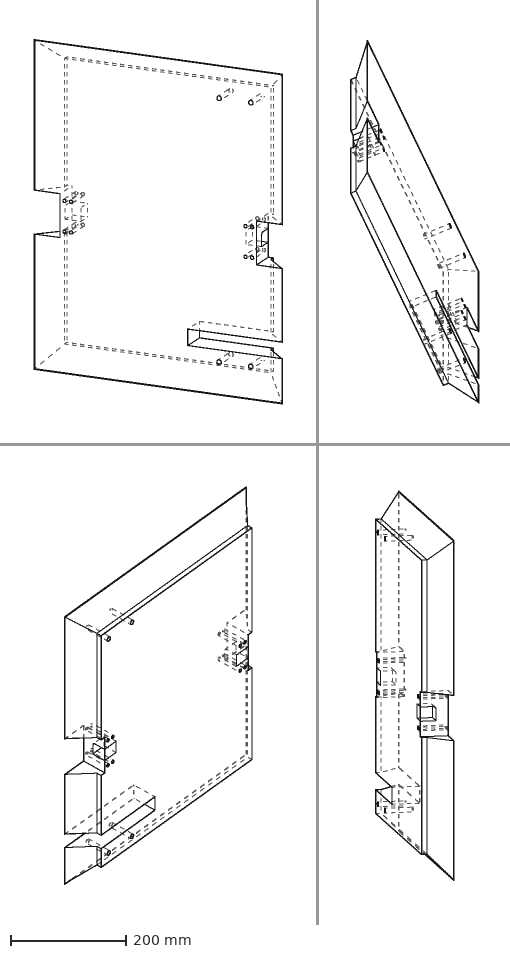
import cadquery as cq

WIDTH = 475.0
HEIGHT = 600.0
THICKNESS = 50.0
SKIN = 0.7

BACK_INSET = 40.0
BAND_DEPTH = 10.0
BACK_WIDTH = WIDTH - 2 * BACK_INSET
BACK_HEIGHT = HEIGHT - 2 * BACK_INSET
BEVEL_DEPTH = THICKNESS - SKIN - BAND_DEPTH
CORE_INSET = BACK_INSET - BEVEL_DEPTH

NOTCH_DEPTH = 50.0
NOTCH_HEIGHT = 80.0
NOTCH_Z = -14.0

POCKET_LENGTH = 30.0
POCKET_HEIGHT = 25.0
POCKET_DEPTH = 28.0
POCKET_FILLET = 5.0

SLOT_LENGTH = 181.0
SLOT_HEIGHT = 30.0
SLOT_Z = -203.0

SMALL_HOLE = 6.0
SMALL_HOLE_X = (167.0, 179.5)
SMALL_HOLE_PITCH_Z = 56.0
LARGE_HOLE = 8.5
LARGE_HOLE_X = (116.5, 177.0)
LARGE_HOLE_Z = 240.0

FRONT_Y = 0.0
BACK_Y = THICKNESS
NOTCH_FLOOR_X = WIDTH / 2 - NOTCH_DEPTH


def slab(width, height, y_start, y_end, x=0.0, z=0.0):
    """Box centred on (x, z), between two Y positions."""
    depth = y_end - y_start
    return cq.Workplane("XY").box(width, depth, height).translate((x, y_start + depth / 2, z))


def notch_cutter():
    """Both side notches; each block is centred on its side edge."""
    cutter = cq.Workplane("XY")
    for side in (-1, 1):
        cutter = cutter.add(
            slab(2 * NOTCH_DEPTH, NOTCH_HEIGHT, FRONT_Y, BACK_Y, side * WIDTH / 2, NOTCH_Z)
        )
    return cutter.combine()


def slot_cutter():
    """Slot running in from the +X edge."""
    return slab(2 * SLOT_LENGTH, SLOT_HEIGHT, FRONT_Y, BACK_Y, WIDTH / 2, SLOT_Z)


def hole_cutter():
    """Small holes beside the notches and large holes near the top and bottom."""
    small_points = [
        (side * x, NOTCH_Z + row * SMALL_HOLE_PITCH_Z / 2)
        for side in (-1, 1)
        for x in SMALL_HOLE_X
        for row in (-1, 1)
    ]
    large_points = [(x, row * LARGE_HOLE_Z) for x in LARGE_HOLE_X for row in (-1, 1)]
    plane = cq.Workplane("XZ")
    small = plane.pushPoints(small_points).circle(SMALL_HOLE / 2).extrude(-THICKNESS)
    large = plane.pushPoints(large_points).circle(LARGE_HOLE / 2).extrude(-THICKNESS)
    return small.add(large).combine()


def pocket_cutter():
    """Pockets behind the notch floors, rounded along the upper inner edge."""
    cutter = cq.Workplane("XY")
    for side in (-1, 1):
        block = slab(
            2 * POCKET_LENGTH, POCKET_HEIGHT, BACK_Y - POCKET_DEPTH, BACK_Y - SKIN,
            side * NOTCH_FLOOR_X, NOTCH_Z,
        )
        cutter = cutter.add(block.edges("|X and >Z and <Y").fillet(POCKET_FILLET))
    return cutter.combine()


def cut_openings(body):
    """Cut everything that passes through the whole panel."""
    return body.cut(notch_cutter()).cut(slot_cutter()).cut(hole_cutter())


def make_front_skin():
    """Full-size sheet on the front of the core."""
    return cut_openings(slab(WIDTH, HEIGHT, FRONT_Y, FRONT_Y + SKIN))


def make_back_skin():
    """Smaller sheet covering the back of the core."""
    return cut_openings(slab(BACK_WIDTH, BACK_HEIGHT, BACK_Y - SKIN, BACK_Y))


def make_core():
    """Tapered slab with a straight band at its back, and a pocket at each notch."""
    bevel = (
        cq.Workplane("XZ", origin=(0, FRONT_Y + SKIN, 0))
        .rect(WIDTH - 2 * CORE_INSET, HEIGHT - 2 * CORE_INSET)
        .workplane(offset=-BEVEL_DEPTH)
        .rect(BACK_WIDTH, BACK_HEIGHT)
        .loft(combine=True)
    )
    band = slab(BACK_WIDTH, BACK_HEIGHT, BACK_Y - BAND_DEPTH, BACK_Y - SKIN)
    return cut_openings(bevel.union(band)).cut(pocket_cutter())


front_skin = make_front_skin()
core = make_core()
back_skin = make_back_skin()

result = cq.Compound.makeCompound([front_skin.val(), core.val(), back_skin.val()])